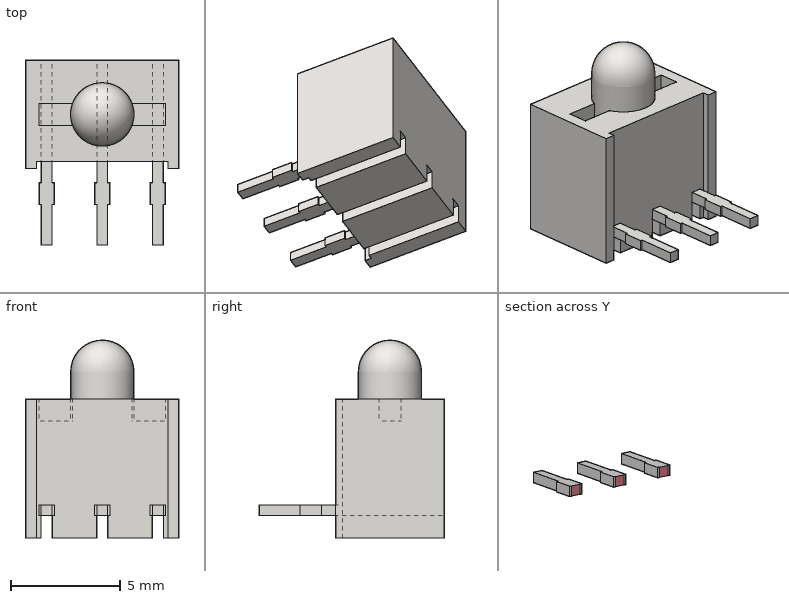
import cadquery as cq

housing_width = 7.0
housing_depth = 4.97
housing_height = 6.35
rib_width = 0.5
rib_depth = 0.32
back_y = housing_depth / 2
rib_front_y = -housing_depth / 2
wall_front_y = rib_front_y + rib_depth

lamp_radius = 1.45
lamp_cylinder_height = 1.25
slot_length = 5.8
slot_width = 1.0
slot_depth = 1.0

lead_pitch = 2.54
lead_size = 0.5
lead_center_z = 1.27
overall_depth = 8.46
lead_tip_y = back_y - overall_depth
shoulder_width = 0.7
shoulder_length = 1.0
shoulder_front_y = -4.12
lead_positions = [-lead_pitch, 0.0, lead_pitch]
lead_bottom_z = lead_center_z - lead_size / 2


def box(width, y_front, y_back, z_bottom, height, x_center=0.0):
    """Block centred on x_center, spanning y_front to y_back, standing on z_bottom."""
    return (
        cq.Workplane("XY")
        .box(width, y_back - y_front, height, centered=(True, False, False))
        .translate((x_center, y_front, z_bottom))
    )


def make_housing():
    """Block whose front wall is set back between two full-height side ribs."""
    block = box(housing_width, rib_front_y, back_y, 0.0, housing_height)
    recess_width = housing_width - 2 * rib_width
    return block.cut(box(recess_width, rib_front_y, wall_front_y, 0.0, housing_height))


def make_top_slot():
    """Shallow rectangular slot in the top face, centred on the lamp."""
    return box(slot_length, -slot_width / 2, slot_width / 2, housing_height - slot_depth, slot_depth)


def make_lamp():
    """Cylinder rising from the slot floor with a hemispherical top."""
    slot_floor_z = housing_height - slot_depth
    dome_base_z = housing_height + lamp_cylinder_height
    top_z = dome_base_z + lamp_radius
    return (
        cq.Workplane("XZ")
        .moveTo(0.0, slot_floor_z)
        .lineTo(lamp_radius, slot_floor_z)
        .lineTo(lamp_radius, dome_base_z)
        .radiusArc((0.0, top_z), -lamp_radius)
        .close()
        .revolve(axisStart=(0, 0, 0), axisEnd=(0, 1, 0))
    )


def make_lead_notch(x):
    """Open-bottomed channel below a lead, running through the housing depth."""
    return box(lead_size, rib_front_y, back_y, 0.0, lead_bottom_z, x)


def make_lead(x):
    """Bar from the lamp axis plane to the tip, with its wider shoulder."""
    bar = box(lead_size, lead_tip_y, 0.0, lead_bottom_z, lead_size, x)
    shoulder_back_y = shoulder_front_y + shoulder_length
    shoulder = box(shoulder_width, shoulder_front_y, shoulder_back_y, lead_bottom_z, lead_size, x)
    return bar.union(shoulder)


result = make_housing().cut(make_top_slot()).union(make_lamp())
for lead_x in lead_positions:
    result = result.cut(make_lead_notch(lead_x)).union(make_lead(lead_x))